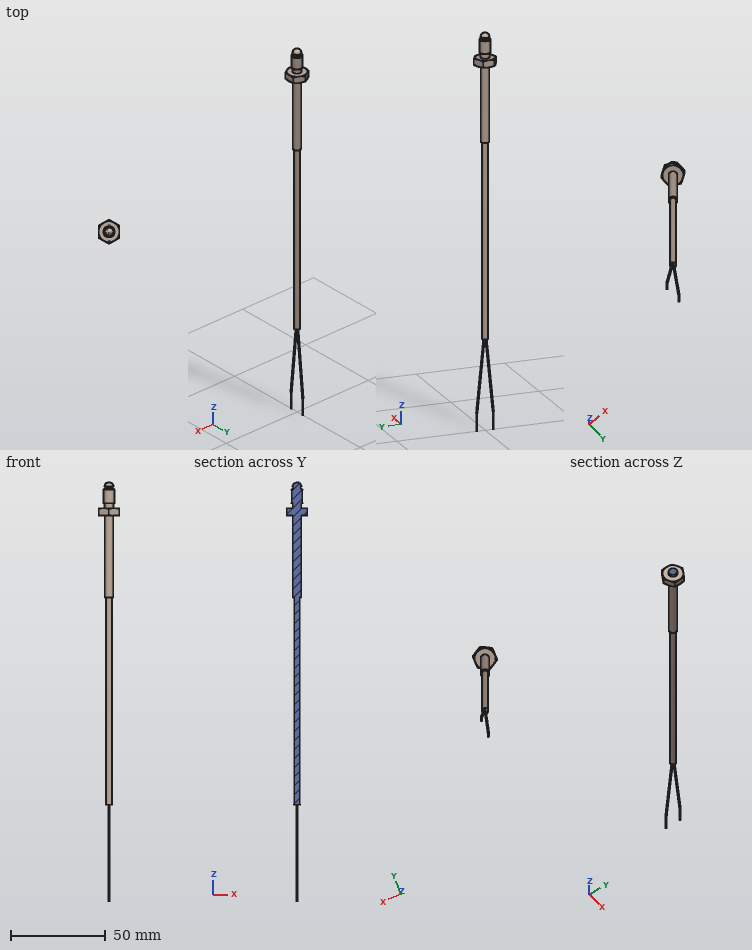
import cadquery as cq
import math

total_length = 220.9
strip_z = 10.2
cable_end_z = 50.8
tube_end_z = 160.0
hex_bottom_z = 203.2
hex_top_z = 207.2
thread_bottom_z = 209.8
thread_top_z = 217.3
tip_edge_z = 218.7

cable_radius = 1.65
tube_diameter = 4.6
tube_radius = tube_diameter / 2
relief_radius = 2.5
thread_diameter = 6.0
thread_radius = thread_diameter / 2
tip_neck_radius = 2.0
tip_radius = 2.5
tube_chamfer = 0.5
thread_chamfer = 0.5

hex_across_flats = 11.0
hex_corner_radius = hex_across_flats / math.sqrt(3)
bevel_start_radius = hex_across_flats / 2
bevel_angle = 30.0
hex_turn_angle = 30.0

insulation_radius = 0.5
conductor_radius = 0.33
wire_start_y = 0.5
wire_end_y = 4.6
wire_embed = 1.0


def make_turned_body():
    """Sensor tip, thread, tube and cable as one revolved profile."""
    dome_height = total_length - tip_edge_z
    dome_radius = (tip_radius**2 + dome_height**2) / (2 * dome_height)
    half_angle = math.atan2(tip_radius, dome_radius - dome_height) / 2
    dome_mid = (
        dome_radius * math.sin(half_angle),
        total_length - dome_radius * (1 - math.cos(half_angle)),
    )
    tip_bottom_z = tip_edge_z - (tip_radius - tip_neck_radius)
    return (
        cq.Workplane("XZ")
        .moveTo(0, cable_end_z)
        .lineTo(cable_radius, cable_end_z)
        .lineTo(cable_radius, tube_end_z)
        .lineTo(tube_radius - tube_chamfer, tube_end_z)
        .lineTo(tube_radius, tube_end_z + tube_chamfer)
        .lineTo(tube_radius, hex_bottom_z)
        .lineTo(relief_radius, hex_bottom_z)
        .lineTo(relief_radius, thread_bottom_z)
        .lineTo(thread_radius, thread_bottom_z)
        .lineTo(thread_radius, thread_top_z - thread_chamfer)
        .lineTo(thread_radius - thread_chamfer, thread_top_z)
        .lineTo(tip_neck_radius, thread_top_z)
        .lineTo(tip_neck_radius, tip_bottom_z)
        .lineTo(tip_radius, tip_edge_z)
        .threePointArc(dome_mid, (0, total_length))
        .close()
        .revolve(360, (0, 0, 0), (0, 1, 0))
    )


def make_hexagon():
    """Hexagon with corners on the Y axis, bevelled at both ends."""
    height = hex_top_z - hex_bottom_z
    prism = (
        cq.Workplane("XY")
        .workplane(offset=hex_bottom_z)
        .polygon(6, 2 * hex_corner_radius)
        .extrude(height)
        .rotate((0, 0, 0), (0, 0, 1), hex_turn_angle)
    )
    bevel = (hex_corner_radius - bevel_start_radius) * math.tan(math.radians(bevel_angle))
    envelope = (
        cq.Workplane("XZ")
        .moveTo(0, hex_bottom_z)
        .lineTo(bevel_start_radius, hex_bottom_z)
        .lineTo(hex_corner_radius, hex_bottom_z + bevel)
        .lineTo(hex_corner_radius, hex_top_z - bevel)
        .lineTo(bevel_start_radius, hex_top_z)
        .lineTo(0, hex_top_z)
        .close()
        .revolve(360, (0, 0, 0), (0, 1, 0))
    )
    return prism.intersect(envelope)


def make_wire(side):
    """Slanted insulated wire ending in a straight bare conductor."""
    start = cq.Vector(0, side * wire_start_y, cable_end_z + wire_embed)
    end = cq.Vector(0, side * wire_end_y, strip_z)
    direction = end - start
    insulation = cq.Solid.makeCylinder(insulation_radius, direction.Length, start, direction)
    conductor_base = cq.Vector(0, end.y, 0)
    conductor = cq.Solid.makeCylinder(conductor_radius, strip_z + insulation_radius, conductor_base)
    return cq.Workplane(insulation).union(cq.Workplane(conductor))


result = make_turned_body().union(make_hexagon())
for side in (-1, 1):
    result = result.union(make_wire(side))